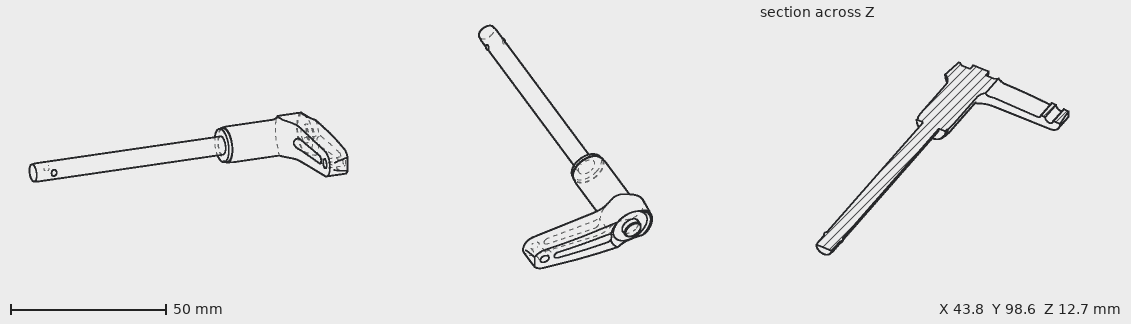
import cadquery as cq
import math


pin_radius = 3.0
pin_length = 67.1
tip_length = 1.6
tip_radius = 2.8

ball_radius = 1.2
ball_reach = 3.45
ball_y = -61.0

collar_radius = 5.9
nose_radius = 5.45
nose_height = 1.2
collar_taper_end = 3.0
collar_taper_radius = 5.7
collar_top = 19.0

flare_radius = 4.3
flare_outer_radius = collar_radius + flare_radius
handle_bottom = collar_top + flare_radius

handle_left = -8.5
handle_right = 35.3
hub_radius = 6.33
head_radius = 6.05
head_x = handle_left + head_radius
end_radius = 4.2
end_x = handle_right - end_radius

rim_top = 30.2
hump_x = 5.2
hump_top = 30.9
crown_x = 18.2
crown_y = 30.3
end_line_y = 28.9
end_top_x = 34.6
end_top_y = 28.6
end_bottom_x = 33.9
end_bottom_y = 22.0

relief_radius = 7.2
relief_shift = 0.8

dish_floor = 29.5
dish_floor_radius = 6.2
dish_top_radius = 8.0

button_radius = 3.0
button_top = 31.5
button_chamfer = 0.25

slot_inner_radius = 1.8
slot_inner_x = 9.1
slot_outer_radius = 1.3
slot_outer_x = 26.5
hole_radius = 1.5

prism_start = collar_top
prism_height = 15.0


def lathe(points):
    """Solid of revolution about the pin axis from a list of (radius, y) corners."""
    return cq.Workplane("XY").polyline(points).close().revolve(360, (0, 0), (0, 1))


def tapered_lobe(left_x, left_radius, right_x, right_radius):
    """Upright prism wrapping two circles centred on the X axis with tangent straight sides."""
    lean = (left_radius - right_radius) / (right_x - left_x)
    rise = math.sqrt(1 - lean**2)
    left_tangent = (left_x + left_radius * lean, left_radius * rise)
    right_tangent = (right_x + right_radius * lean, right_radius * rise)
    return (
        cq.Workplane("XZ", origin=(0, prism_start, 0))
        .moveTo(*left_tangent)
        .lineTo(*right_tangent)
        .threePointArc((right_x + right_radius, 0), (right_tangent[0], -right_tangent[1]))
        .lineTo(left_tangent[0], -left_tangent[1])
        .threePointArc((left_x - left_radius, 0), left_tangent)
        .close()
        .extrude(-prism_height)
    )


def make_pin():
    """Pin with a slightly tapered tip."""
    return lathe(
        [
            (0, -pin_length),
            (tip_radius, -pin_length),
            (pin_radius, tip_length - pin_length),
            (pin_radius, collar_top),
            (0, collar_top),
        ]
    )


def make_balls():
    """Two locking balls that stand proud of the pin on either side."""
    centre_x = ball_reach - ball_radius
    return (
        cq.Workplane("XY")
        .pushPoints([(-centre_x, ball_y), (centre_x, ball_y)])
        .sphere(ball_radius)
    )


def make_collar():
    """Cylindrical collar with a tapered lower end and a narrower nose."""
    return lathe(
        [
            (0, 0),
            (nose_radius, 0),
            (nose_radius, nose_height),
            (collar_taper_radius, nose_height),
            (collar_radius, collar_taper_end),
            (collar_radius, dish_floor),
            (0, dish_floor),
        ]
    )


def make_flare():
    """Concave quarter-round flare from the collar out to the underside of the handle."""
    diagonal = flare_radius * math.sqrt(0.5)
    return (
        cq.Workplane("XY")
        .moveTo(0, collar_top)
        .lineTo(collar_radius, collar_top)
        .threePointArc(
            (flare_outer_radius - diagonal, collar_top + diagonal),
            (flare_outer_radius, handle_bottom),
        )
        .lineTo(0, handle_bottom)
        .close()
        .revolve(360, (0, 0), (0, 1))
    )


def make_handle_profile():
    """Side profile of the handle, extruded across its full width."""
    return (
        cq.Workplane("XY")
        .moveTo(handle_left, handle_bottom)
        .lineTo(handle_left, rim_top)
        .lineTo(0, rim_top)
        .lineTo(hump_x, hump_top)
        .threePointArc((crown_x, crown_y), (end_x, end_line_y))
        .lineTo(end_top_x, end_top_y)
        .lineTo(handle_right, end_bottom_y)
        .lineTo(end_bottom_x, end_bottom_y)
        .lineTo(flare_outer_radius, handle_bottom)
        .close()
        .extrude(hub_radius, both=True)
    )


def make_head_relief():
    """Leaning column that trims the head, touching its left edge level with the handle underside."""
    lean = math.degrees(math.atan2(relief_shift, rim_top - handle_bottom))
    edge = (handle_left, handle_bottom, 0)
    return (
        cq.Workplane("XZ", origin=edge)
        .center(relief_radius, 0)
        .circle(relief_radius)
        .extrude(-prism_height)
        .union(
            cq.Workplane("XZ", origin=edge)
            .center(relief_radius + handle_right, 0)
            .rect(2 * handle_right, 2 * relief_radius)
            .extrude(-prism_height)
        )
        .rotate(edge, (handle_left, handle_bottom, 1), -lean)
    )


def make_dish():
    """Dish that clears the release button, with a conical wall."""
    wall_slope = (hump_top - dish_floor) / (dish_top_radius - dish_floor_radius)
    open_radius = dish_floor_radius + (button_top - dish_floor) / wall_slope
    return lathe([(0, dish_floor), (dish_floor_radius, dish_floor), (open_radius, button_top), (0, button_top)])


def make_button():
    """Release button standing up out of the dish."""
    return lathe(
        [
            (0, collar_top),
            (button_radius, collar_top),
            (button_radius, button_top - button_chamfer),
            (button_radius - button_chamfer, button_top),
            (0, button_top),
        ]
    )


def make_handle():
    """Handle with its flare, relieved head, dish, slot and end hole."""
    outline = tapered_lobe(head_x, head_radius, 0, hub_radius)
    outline = outline.union(tapered_lobe(0, hub_radius, end_x, end_radius))
    lever = make_handle_profile().intersect(make_head_relief())
    handle = lever.union(make_flare()).intersect(outline).cut(make_dish())

    slot = tapered_lobe(slot_inner_x, slot_inner_radius, slot_outer_x, slot_outer_radius)
    hole = (
        cq.Workplane("XZ", origin=(end_x, prism_start, 0))
        .circle(hole_radius)
        .extrude(-prism_height)
    )
    return handle.cut(slot).cut(hole)


result = make_handle().union(make_collar()).union(make_button()).union(make_pin()).union(make_balls())